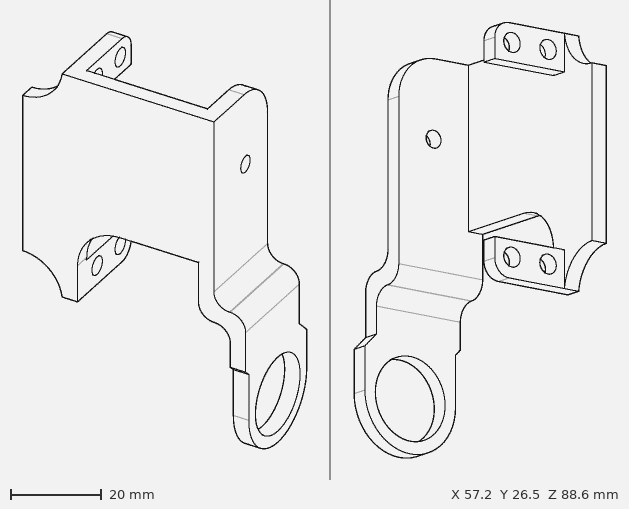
import cadquery as cq
import math

length_x = 57.2
height = 88.6
depth = 26.5
wall = 4.0

plate_right = 49.1
plate_bottom = 30.3
ear_left = 10.1
notch_height = 8.9
arch_top = 50.6
arch_radius = 10.8

wall_depth = 23.3
ear_corner_radius = 4.0
ear_hole_diameter = 4.5
upper_hole_z = 84.2
lower_hole_z = 35.2
ear_hole_positions_y = (8.5, 18.5)
wall_corner_radius = 10.2
wall_hole_diameter = 4.1
wall_hole_y = 13.65
wall_hole_z = 70.2

jog_top = 40.2
bend_radius = 4.0
shoulder_z = 25.9
ring_radius = 12.6
ring_hole_radius = 9.7

ear_right = ear_left + wall
wall_inner = plate_right - wall
leg_inner = length_x - wall
jog_bottom = jog_top - wall
ring_y = depth - ring_radius
ring_front = ring_y - ring_radius
diagonal = math.sqrt(0.5)


def extrude_y(profile, distance):
    """Extrude an XZ outline from the front face toward +Y."""
    return profile.extrude(-distance)


def box(x0, x1, y0, y1, z0, z1):
    return cq.Workplane("XY").box(x1 - x0, y1 - y0, z1 - z0, centered=False).translate((x0, y0, z0))


def hole_x(x0, y, z, diameter, distance):
    """Cylinder along +X used to cut a hole."""
    return cq.Workplane("YZ", origin=(x0, y, z)).circle(diameter / 2).extrude(distance)


def make_plate():
    arch_mid_x = ear_right + arch_radius * (1 - diagonal)
    arch_mid_z = arch_top - arch_radius * (1 - diagonal)
    plate = extrude_y(
        cq.Workplane("XZ")
        .moveTo(0, plate_bottom)
        .lineTo(ear_right, plate_bottom)
        .lineTo(ear_right, arch_top - arch_radius)
        .threePointArc((arch_mid_x, arch_mid_z), (ear_right + arch_radius, arch_top))
        .lineTo(plate_right, arch_top)
        .lineTo(plate_right, height)
        .lineTo(0, height)
        .close(),
        wall,
    )
    notch_radius = (ear_left**2 + notch_height**2) / (2 * notch_height)
    center_offset = notch_radius - notch_height
    for center_z in (height + center_offset, plate_bottom - center_offset):
        scoop = extrude_y(cq.Workplane("XZ").center(0, center_z).circle(notch_radius), wall)
        plate = plate.cut(scoop)
    return plate


def make_ear(z0, corner_selector, hole_z):
    ear = box(ear_left, ear_right, 0, wall_depth, z0, z0 + notch_height)
    ear = ear.edges("|X").edges(">Y").edges(corner_selector).fillet(ear_corner_radius)
    for hole_y in ear_hole_positions_y:
        ear = ear.cut(hole_x(ear_left, hole_y, hole_z, ear_hole_diameter, wall))
    return ear


def make_right_wall():
    side = box(wall_inner, plate_right, 0, wall_depth, arch_top, height)
    side = side.edges("|X and >Y and >Z").fillet(wall_corner_radius)
    return side.cut(hole_x(wall_inner, wall_hole_y, wall_hole_z, wall_hole_diameter, wall))


def make_leg():
    """S-bent strip that steps outward below the right wall."""
    strip = extrude_y(
        cq.Workplane("XZ")
        .moveTo(wall_inner, arch_top)
        .lineTo(wall_inner, jog_bottom)
        .lineTo(leg_inner, jog_bottom)
        .lineTo(leg_inner, shoulder_z)
        .lineTo(length_x, shoulder_z)
        .lineTo(length_x, jog_top)
        .lineTo(plate_right, jog_top)
        .lineTo(plate_right, arch_top)
        .close(),
        wall_depth,
    )
    bends = strip.edges("|Y").edges(
        cq.selectors.BoxSelector(
            (wall_inner - 0.9, -0.9, jog_bottom - 0.9),
            (length_x + 0.9, depth, jog_top + 0.9),
        )
    )
    return bends.fillet(bend_radius)


def make_ring():
    back_flare = depth - wall_depth
    ring = (
        cq.Workplane("YZ", origin=(leg_inner, 0, 0))
        .moveTo(0, shoulder_z)
        .lineTo(ring_front, shoulder_z - ring_front)
        .lineTo(ring_front, ring_radius)
        .threePointArc((ring_y, 0), (depth, ring_radius))
        .lineTo(depth, shoulder_z - back_flare)
        .lineTo(wall_depth, shoulder_z)
        .close()
        .extrude(wall)
    )
    return ring.cut(hole_x(leg_inner, ring_y, ring_radius, 2 * ring_hole_radius, wall))


result = (
    make_plate()
    .union(make_ear(height - notch_height, ">Z", upper_hole_z))
    .union(make_ear(plate_bottom, "<Z", lower_hole_z))
    .union(make_right_wall())
    .union(make_leg())
    .union(make_ring())
)